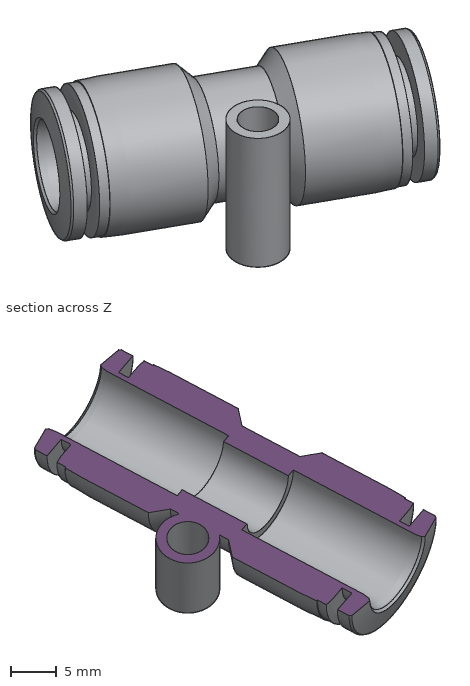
import cadquery as cq

length = 42.6
half_length = length / 2
body_diameter = 17.5
body_radius = body_diameter / 2
waist_radius = 7.0
waist_half_length = 3.8
shoulder_end = 5.5
taper_start = 14.3
taper_end = 16.55
taper_radius = 8.65
ring_radius = 8.5
ring_end = 17.8
ring_bevel_length = 0.13
ring_bevel_width = 0.95

stem_radius = 5.62
collar_radius = 8.4
collar_start = 19.05
collar_rim_end = 20.58
collar_face_start = 20.85
collar_face_radius = 8.22

passage_radius = 4.0
socket_radius = 5.0
socket_depth = 17.05
mouth_radius = 5.35
mouth_depth = 0.3
lead_in_radius = 5.1
lead_in_depth = 1.15

tube_x = 9.25
tube_outer_radius = 3.5
tube_inner_radius = 2.25


def revolve_symmetric(half_profile):
    """Revolve (radius, Y) points and their mirror image in Y = 0 about the Y axis."""
    mirrored = [(radius, -y) for radius, y in reversed(half_profile)]
    end = half_profile[-1][1]
    points = [(0, -end)] + mirrored + half_profile + [(0, end)]
    return cq.Workplane("XY").polyline(points).close().revolve(360, (0, 0, 0), (0, 1, 0))


def make_body():
    return revolve_symmetric([
        (waist_radius, waist_half_length),
        (body_radius, shoulder_end),
        (body_radius, taper_start),
        (taper_radius, taper_end),
        (ring_radius, taper_end),
        (ring_radius, ring_end - ring_bevel_length),
        (ring_radius - ring_bevel_width, ring_end),
        (stem_radius, ring_end),
        (stem_radius, collar_start),
        (collar_radius, collar_start),
        (collar_radius, collar_rim_end),
        (collar_face_radius, collar_face_start),
        (mouth_radius, half_length),
    ])


def make_bore():
    socket_bottom = half_length - socket_depth
    return revolve_symmetric([
        (passage_radius, socket_bottom),
        (socket_radius, socket_bottom),
        (socket_radius, half_length - lead_in_depth),
        (lead_in_radius, half_length - mouth_depth),
        (mouth_radius, half_length),
    ])


def tube_cylinder(radius):
    """Cylinder on the mounting tube axis, as tall as the body is wide."""
    return cq.Workplane("XY").center(tube_x, 0).circle(radius).extrude(body_radius, both=True)


body = make_body().union(tube_cylinder(tube_outer_radius))
result = body.cut(make_bore()).cut(tube_cylinder(tube_inner_radius))